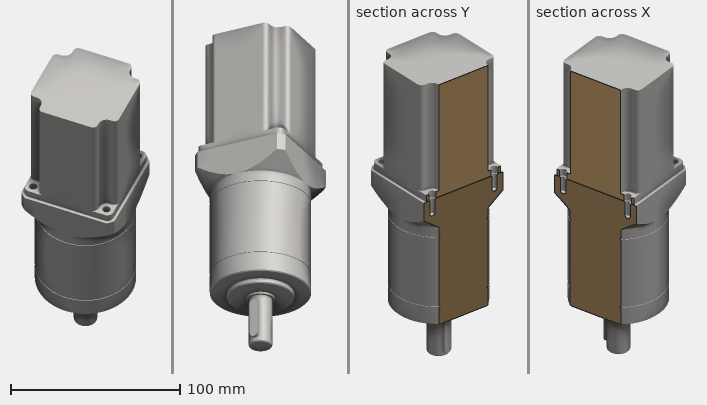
import cadquery as cq
import math


overall_length = 198.5

motor_width = 56.4
motor_length = 76.6
flange_thickness = 4.8
flange_corner_radius = 3.5
bolt_spacing = 47.0
bolt_hole_diameter = 5.0
relief_radius = 5.0
relief_edge_radius = 3.0

gearbox_width = 60.0
barrel_radius = gearbox_width / 2
head_corner_radius = 39.9
head_depth = 20.5
head_cone_height = head_corner_radius - barrel_radius
groove_depths = (27.4, 74.6)
groove_width = 0.5
groove_cut = 0.4
housing_depth = 87.0
housing_chamfer = 0.5
tapped_hole_diameter = 3.4
tapped_hole_depth = 10.0
drill_point_angle = 118.0

pilot_radius = 20.0
pilot_depth = 90.0
pilot_chamfer = 0.5
collar_radius = 8.5
collar_depth = 91.1
shaft_radius = 7.0
shaft_depth = overall_length - motor_length
shaft_chamfer = 0.5
key_width = 5.0
key_length = 24.8
key_depth = 94.3
key_top = 9.1


def bolt_positions():
    half = bolt_spacing / 2
    return [(x, y) for x in (-half, half) for y in (-half, half)]


def cylinder(radius, bottom, top):
    return cq.Workplane("XY", origin=(0, 0, bottom)).circle(radius).extrude(top - bottom)


def make_motor_body():
    """Square column with a rounded vertical relief over each bolt."""
    column_height = motor_length - flange_thickness
    column = (
        cq.Workplane("XY", origin=(0, 0, flange_thickness))
        .rect(motor_width, motor_width)
        .extrude(column_height)
    )
    relief_size = 2 * (motor_width / 2 - bolt_spacing / 2 + relief_radius)
    reliefs = (
        cq.Workplane("XY", origin=(0, 0, flange_thickness))
        .rect(motor_width, motor_width, forConstruction=True)
        .vertices()
        .rect(relief_size, relief_size)
        .extrude(column_height)
        .edges("|Z")
        .fillet(relief_radius)
    )

    def lies_on_side(edge):
        center = edge.Center()
        return max(abs(center.x), abs(center.y)) > motor_width / 2 - relief_edge_radius

    side_edges = column.cut(reliefs).edges("|Z").filter(lies_on_side)
    return side_edges.fillet(relief_edge_radius)


def make_motor():
    flange = (
        cq.Workplane("XY")
        .rect(motor_width, motor_width)
        .extrude(flange_thickness)
        .edges("|Z")
        .fillet(flange_corner_radius)
    )
    bolt_holes = (
        cq.Workplane("XY")
        .pushPoints(bolt_positions())
        .circle(bolt_hole_diameter / 2)
        .extrude(flange_thickness)
    )
    return flange.cut(bolt_holes).union(make_motor_body())


def make_gearbox_head():
    """Square head with rounded corners, tapering on a cone to the round barrel."""
    square = (
        cq.Workplane("XY", origin=(0, 0, -head_depth))
        .rect(gearbox_width, gearbox_width)
        .extrude(head_depth)
    )
    envelope = cylinder(head_corner_radius, -head_depth, 0)
    envelope = envelope.faces("<Z").chamfer(head_cone_height)
    return square.intersect(envelope)


def make_barrel():
    """Round housing with a chamfered lower rim and two shallow ring grooves."""
    barrel = cylinder(barrel_radius, -housing_depth, -head_depth)
    barrel = barrel.faces("<Z").chamfer(housing_chamfer)
    for depth in groove_depths:
        bottom = -depth - groove_width / 2
        top = -depth + groove_width / 2
        ring = cylinder(head_corner_radius, bottom, top)
        ring = ring.cut(cylinder(barrel_radius - groove_cut, bottom, top))
        barrel = barrel.cut(ring)
    return barrel


def make_key():
    """Round-ended key on the +Y side of the shaft, reaching in to the shaft axis."""
    middle = key_depth + key_length / 2
    return (
        cq.Workplane("XZ", origin=(0, 0, -middle))
        .slot2D(key_length, key_width, 90)
        .extrude(-key_top)
    )


def make_output_end():
    pilot = cylinder(pilot_radius, -pilot_depth, -housing_depth)
    pilot = pilot.faces("<Z").chamfer(pilot_chamfer)
    collar = cylinder(collar_radius, -collar_depth, -pilot_depth)
    shaft = cylinder(shaft_radius, -shaft_depth, -collar_depth)
    shaft = shaft.faces("<Z").chamfer(shaft_chamfer)
    return pilot.union(collar).union(shaft).union(make_key())


def make_tapped_hole(x, y):
    """Blind hole with a drill point, cut down from the mounting face."""
    radius = tapped_hole_diameter / 2
    point_length = radius / math.tan(math.radians(drill_point_angle / 2))
    profile = [
        (0, 0),
        (radius, 0),
        (radius, -tapped_hole_depth),
        (0, -tapped_hole_depth - point_length),
    ]
    hole = cq.Workplane("XZ").polyline(profile).close().revolve(360, (0, 0), (0, 1))
    return hole.translate((x, y, 0))


def make_gearbox():
    gearbox = make_gearbox_head().union(make_barrel()).union(make_output_end())
    for x, y in bolt_positions():
        gearbox = gearbox.cut(make_tapped_hole(x, y))
    return gearbox


motor = make_motor()
gearbox = make_gearbox()

result = cq.Compound.makeCompound([motor.val(), gearbox.val()])